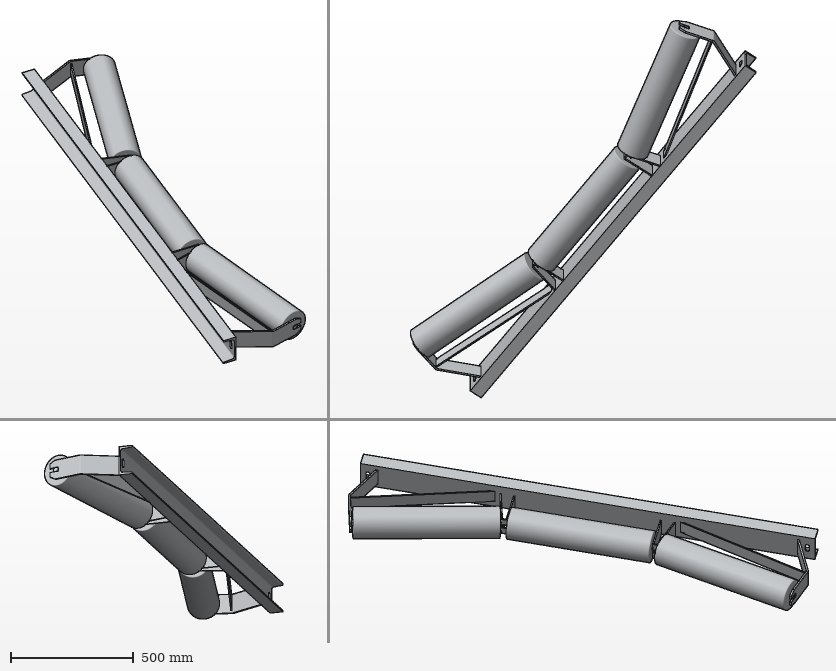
import cadquery as cq
import math


beam_length = 1900.0
beam_height = 121.0
beam_middle_z = 1.0
flange_width = 55.0
web_thickness = 7.0
flange_thickness = 10.0
flange_taper = 0.08
root_radius = 9.0
toe_radius = 4.5
mount_slot_x = 918.0
mount_slot_width = 17.0
mount_slot_length = 36.0

roller_diameter = 133.0
roller_length = 600.0
rim_radius = 4.0
axle_diameter = 25.0
axle_flat_width = 17.0
trough_angle = 15.0
lean_angle = 1.8
center_axis_y = 117.0
roller_axis_z = -20.0
side_inner_x = 338.0
side_inner_y = 121.0
end_gap = 4.0

outer_strip_thickness = 8.0
inner_strip_thickness = 5.0
strip_height = 80.0
outer_bend_x = 960.0
outer_bend_y = 165.0
outer_bend_radius = 13.0
outer_leg_angle = 24.8
outer_tip_y = 307.0
tip_chamfer_length = 25.0
tip_chamfer_height = 13.0
inner_top_y = 142.0
stay_height = 58.0
stay_foot_x = 407.0

trough = math.radians(trough_angle)
axis_x = math.cos(trough)
axis_y = math.sin(trough)
inner_end = side_inner_x * axis_x + side_inner_y * axis_y


def on_face(distance, y):
    """Point at a given Y on the plan line that is square to a side roller, at a distance along it."""
    return ((distance - y * axis_y) / axis_x, y)


def meet(p, p_direction, q, q_direction):
    """Point where two plan lines cross, each given by a point and a direction."""
    cross = p_direction[0] * q_direction[1] - p_direction[1] * q_direction[0]
    along = ((q[0] - p[0]) * q_direction[1] - (q[1] - p[1]) * q_direction[0]) / cross
    return (p[0] + along * p_direction[0], p[1] + along * p_direction[1])


def standing_strip(outline, height):
    return cq.Workplane("XY").polyline(outline).close().extrude(height / 2, both=True)


def on_side(body, side):
    """The +X body itself, or its mirror image for the -X side."""
    return body if side > 0 else body.mirror("YZ")


def at_center_roller(body):
    return body.translate((0, center_axis_y, roller_axis_z))


def at_side_roller(body):
    """Moves a body drawn along X, with the roller's inner end at the origin, to the +X side roller."""
    return (
        body.rotate((0, 0, 0), (0, 1, 0), -lean_angle)
        .rotate((0, 0, 0), (0, 0, 1), trough_angle)
        .translate((side_inner_x, side_inner_y, roller_axis_z))
    )


def make_beam():
    half = beam_height / 2
    mid_flange_y = -flange_width / 2
    inner_at_web = half - flange_thickness - flange_taper * (flange_width / 2 - web_thickness)
    inner_at_toe = half - flange_thickness - flange_taper * mid_flange_y
    outline = [
        (0, -half),
        (0, half),
        (-flange_width, half),
        (-flange_width, inner_at_toe),
        (-web_thickness, inner_at_web),
        (-web_thickness, -inner_at_web),
        (-flange_width, -inner_at_toe),
        (-flange_width, -half),
    ]
    beam = cq.Workplane("YZ").polyline(outline).close().extrude(beam_length / 2, both=True)
    reach = 0.2
    for sign in (-1, 1):
        root = cq.selectors.BoxSelector(
            (-reach, -web_thickness - reach, sign * inner_at_web - reach),
            (reach, -web_thickness + reach, sign * inner_at_web + reach),
        )
        toe = cq.selectors.BoxSelector(
            (-reach, -flange_width - reach, sign * inner_at_toe - reach),
            (reach, -flange_width + reach, sign * inner_at_toe + reach),
        )
        beam = beam.edges(root).fillet(root_radius).edges(toe).fillet(toe_radius)
    slots = (
        cq.Workplane("XZ")
        .pushPoints([(-mount_slot_x, 0), (mount_slot_x, 0)])
        .slot2D(mount_slot_length, mount_slot_width, 90)
        .extrude(web_thickness)
    )
    return beam.translate((0, 0, beam_middle_z)).cut(slots)


def make_axle_end(start, length):
    """Round bar with two flats, along X."""
    bar = cq.Workplane("YZ").workplane(offset=start).circle(axle_diameter / 2).extrude(length)
    flats = cq.Workplane("YZ").workplane(offset=start).rect(axle_diameter, axle_flat_width).extrude(length)
    return bar.intersect(flats)


inner_axle_reach = end_gap + inner_strip_thickness
outer_axle_reach = end_gap + outer_strip_thickness


def make_roller(far_reach):
    """Roller along X that starts at the origin; far_reach is the length of its axle end at high X."""
    shell = cq.Workplane("YZ").circle(roller_diameter / 2).extrude(roller_length)
    shell = shell.faces("<X or >X").fillet(rim_radius)
    near_axle = make_axle_end(-inner_axle_reach, inner_axle_reach)
    far_axle = make_axle_end(roller_length, far_reach)
    return shell.union(near_axle).union(far_axle)


seat_length = 2 * outer_strip_thickness


def make_axle_seat(start):
    """Cutter for an axle end and the slot, open towards +Y, through which it drops in."""
    slot = (
        cq.Workplane("YZ")
        .workplane(offset=start)
        .center(roller_diameter / 2, 0)
        .rect(roller_diameter, axle_flat_width)
        .extrude(seat_length)
    )
    return slot.union(make_axle_end(start, seat_length))


bend_center = (outer_bend_x - outer_bend_radius, outer_bend_y)
arm_outer_face = bend_center[0] * axis_x + bend_center[1] * axis_y + outer_bend_radius
arm_inner_face = arm_outer_face - outer_strip_thickness
leg_slope = math.radians(outer_leg_angle)
leg_x = math.cos(leg_slope)
leg_y = -math.sin(leg_slope)
leg_outer_face = bend_center[0] * leg_x + bend_center[1] * leg_y + outer_bend_radius
leg_inner_face = leg_outer_face - outer_strip_thickness


def bend_corner(arm_face, leg_face):
    """Sharp corner where a face of the arm meets a face of the leg."""
    return meet(on_face(arm_face, 0), (-axis_y, axis_x), (leg_face / leg_x, 0), (-leg_y, leg_x))


outer_corner = bend_corner(arm_outer_face, leg_outer_face)
inner_corner = bend_corner(arm_inner_face, leg_inner_face)


def upright_edge_at(point):
    """Selects the upright edge at a plan point."""
    return cq.selectors.NearestToPointSelector((point[0], point[1], 0))


def make_tip_profile():
    """Block along X with the bracket's outline in YZ, its two tip corners cut off."""
    half = strip_height / 2
    outline = [
        (0, -half),
        (outer_tip_y - tip_chamfer_length, -half),
        (outer_tip_y, tip_chamfer_height - half),
        (outer_tip_y, half - tip_chamfer_height),
        (outer_tip_y - tip_chamfer_length, half),
        (0, half),
    ]
    return cq.Workplane("YZ").polyline(outline).close().extrude(2 * outer_bend_x)


def make_outer_bracket():
    """Bent strip with a forked, chamfered tip that holds the outer axle end of a side roller."""
    outline = [
        (leg_inner_face / leg_x, 0),
        (leg_outer_face / leg_x, 0),
        outer_corner,
        on_face(arm_outer_face, outer_tip_y),
        on_face(arm_inner_face, outer_tip_y),
        inner_corner,
    ]
    bracket = standing_strip(outline, strip_height)
    bracket = bracket.edges(upright_edge_at(outer_corner)).fillet(outer_bend_radius)
    bracket = bracket.edges(upright_edge_at(inner_corner)).fillet(outer_bend_radius - outer_strip_thickness)
    return (
        bracket.intersect(make_tip_profile())
        .cut(at_side_roller(make_axle_seat(roller_length)))
    )


def make_stay():
    """Straight strip from the bend of an outer bracket down to the beam web."""
    run = inner_corner[0] - stay_foot_x
    length = math.hypot(run, inner_corner[1])
    direction = (run / length, inner_corner[1] / length)
    normal = (-direction[1], direction[0])
    on_upper_face = (
        stay_foot_x + inner_strip_thickness * normal[0],
        inner_strip_thickness * normal[1],
    )
    upper_foot = meet(on_upper_face, direction, (0, 0), (1, 0))
    upper_end = meet(on_upper_face, direction, inner_corner, (-axis_y, axis_x))
    stay = standing_strip([(stay_foot_x, 0), inner_corner, upper_end, upper_foot], stay_height)
    return stay.cut(make_outer_bracket())


def make_inner_bracket():
    """Strip folded over twice: its upright leg holds the centre roller, its sloping leg a side roller."""
    upright_inner = roller_length / 2 + end_gap
    upright_outer = upright_inner + inner_strip_thickness
    sloping_outer = inner_end - end_gap
    sloping_inner = sloping_outer - inner_strip_thickness
    upright_top = (upright_inner, inner_top_y)
    sloping_top = on_face(sloping_outer, inner_top_y)
    under_top_y = inner_top_y - inner_strip_thickness
    outline = [
        (upright_inner, 0),
        upright_top,
        sloping_top,
        on_face(sloping_outer, 0),
        on_face(sloping_inner, 0),
        on_face(sloping_inner, under_top_y),
        (upright_outer, under_top_y),
        (upright_outer, 0),
    ]
    bracket = standing_strip(outline, strip_height)
    for corner in (upright_top, sloping_top):
        bracket = bracket.edges(upright_edge_at(corner)).fillet(inner_strip_thickness)
    center_seat = make_axle_seat(roller_length).translate((-roller_length / 2, 0, 0))
    side_seat = make_axle_seat(-2 * inner_strip_thickness)
    bracket = bracket.translate((0, 0, roller_axis_z))
    return bracket.cut(at_center_roller(center_seat)).cut(at_side_roller(side_seat))


beam = make_beam()
center_roller = at_center_roller(make_roller(inner_axle_reach).translate((-roller_length / 2, 0, 0)))
bodies = [beam.val(), center_roller.val()]
for side in (-1, 1):
    side_roller = on_side(at_side_roller(make_roller(outer_axle_reach)), side)
    outer_bracket = on_side(make_outer_bracket(), side)
    inner_bracket = on_side(make_inner_bracket(), side)
    stay = on_side(make_stay(), side)
    bodies += [side_roller.val(), outer_bracket.val(), inner_bracket.val(), stay.val()]

result = cq.Compound.makeCompound(bodies)